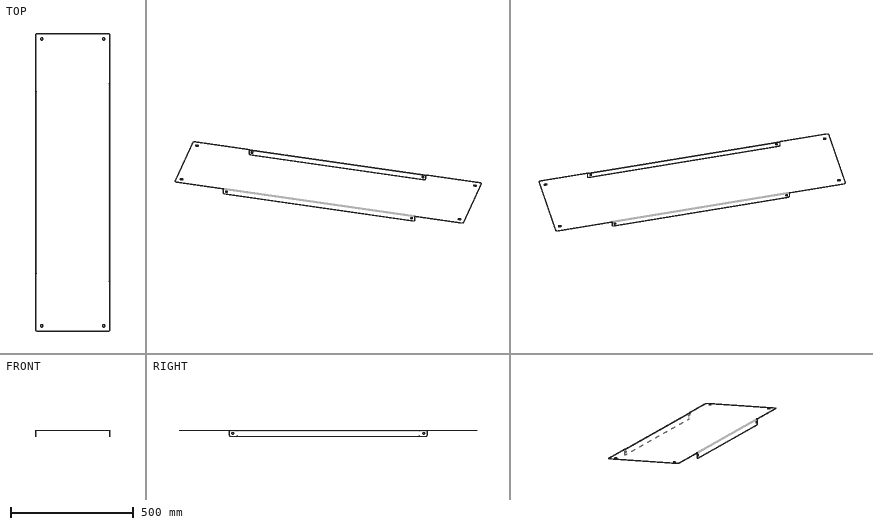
import cadquery as cq

width = 303.21
length = 1212.85
height = 25.4
thickness = 1.52
corner_radius = 7.94

bend_inner_radius = thickness
bend_outer_radius = bend_inner_radius + thickness
left_flange_length = 742.0
right_flange_length = 806.45
flange_corner_radius = 6.35

slot_width = 7.14
slot_length = 11.1
slot_edge_x = 25.4
slot_edge_y = 22.2

flange_hole_diameter = 7.14
left_hole_end_distance = 11.5
right_hole_end_distance = 14.3
flange_hole_depth = 12.7


def make_panel():
    """Flat sheet with rounded corners, its top face at Z = 0."""
    sheet = cq.Workplane("XY").box(width, length, thickness, centered=(True, True, False))
    sheet = sheet.translate((0, 0, -thickness))
    return sheet.edges("|Z").fillet(corner_radius)


def cut_panel_slots(panel):
    """One slot near each corner of the panel."""
    slots = (
        cq.Workplane("XY")
        .rect(width - 2 * slot_edge_x, length - 2 * slot_edge_y, forConstruction=True)
        .vertices()
        .slot2D(slot_length, slot_width, angle=90)
        .extrude(-thickness)
    )
    return panel.cut(slots)


def make_bend_corner(flange_length):
    """Sharp material outside the bend on the left edge, to be removed."""
    return (
        cq.Workplane("XZ")
        .moveTo(-width / 2, 0)
        .lineTo(-width / 2 + bend_outer_radius, 0)
        .radiusArc((-width / 2, -bend_outer_radius), -bend_outer_radius)
        .close()
        .extrude(flange_length / 2, both=True)
    )


def make_flange(flange_length, hole_end_distance):
    """Left-hand flange with its bend and a hole near each end."""
    outer_x = -width / 2
    inner_x = outer_x + thickness
    bend_end_x = outer_x + bend_outer_radius
    flange = (
        cq.Workplane("XZ")
        .moveTo(bend_end_x, 0)
        .radiusArc((outer_x, -bend_outer_radius), -bend_outer_radius)
        .lineTo(outer_x, -height)
        .lineTo(inner_x, -height)
        .lineTo(inner_x, -bend_outer_radius)
        .radiusArc((bend_end_x, -thickness), bend_inner_radius)
        .close()
        .extrude(flange_length / 2, both=True)
    )
    flange = flange.edges("|X and <Z").fillet(flange_corner_radius)
    hole_y = flange_length / 2 - hole_end_distance
    holes = (
        cq.Workplane("YZ", origin=(outer_x, 0, -flange_hole_depth))
        .pushPoints([(-hole_y, 0), (hole_y, 0)])
        .circle(flange_hole_diameter / 2)
        .extrude(thickness)
    )
    return flange.cut(holes)


left_corner = make_bend_corner(left_flange_length)
right_corner = make_bend_corner(right_flange_length).mirror("YZ")
left_flange = make_flange(left_flange_length, left_hole_end_distance)
right_flange = make_flange(right_flange_length, right_hole_end_distance).mirror("YZ")

result = cut_panel_slots(make_panel())
result = result.cut(left_corner).cut(right_corner)
result = result.union(left_flange).union(right_flange)